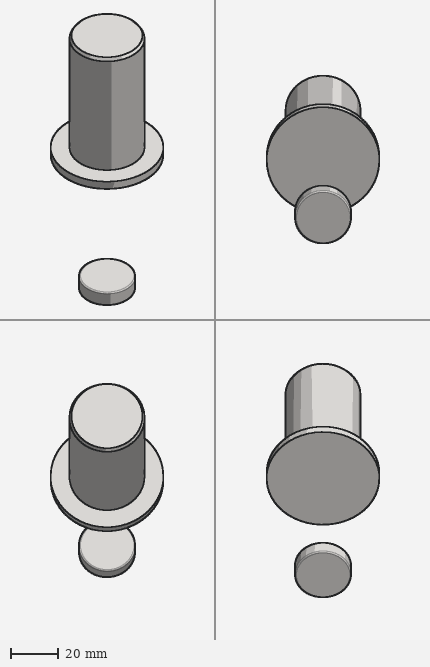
import cadquery as cq
import math

flange_diameter = 48.0
flange_thickness = 4.0
shaft_diameter = 32.0
shaft_length = 60.0
lead_in_height = 1.6
lead_in_angle = 30.0
lead_in_inset = lead_in_height * math.tan(math.radians(lead_in_angle))

disc_diameter = 24.0
disc_thickness = 7.1
disc_rim_radius = 0.6
disc_bottom = -72.0


def make_pin():
    """Flange with its underside at Z = 0 and a shaft whose top tapers to a lead-in, as one turned body."""
    flange_radius = flange_diameter / 2
    shaft_radius = shaft_diameter / 2
    shaft_top = flange_thickness + shaft_length
    half_profile = [
        (0, 0),
        (flange_radius, 0),
        (flange_radius, flange_thickness),
        (shaft_radius, flange_thickness),
        (shaft_radius, shaft_top - lead_in_height),
        (shaft_radius - lead_in_inset, shaft_top),
        (0, shaft_top),
    ]
    return cq.Workplane("XZ").polyline(half_profile).close().revolve(360, (0, 0), (0, 1))


def make_disc():
    """Short disc with both rims rounded."""
    return (
        cq.Workplane("XY")
        .workplane(offset=disc_bottom)
        .circle(disc_diameter / 2)
        .extrude(disc_thickness)
        .faces("<Z or >Z")
        .edges()
        .fillet(disc_rim_radius)
    )


pin = make_pin()
disc = make_disc()

result = cq.Compound.makeCompound([pin.val(), disc.val()])